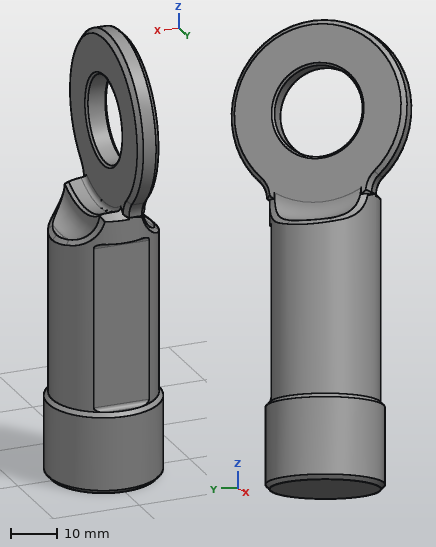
import cadquery as cq
import math

total_height = 102.0
eye_diameter = 40.0
hole_diameter = 20.0
plate_thickness = 5.0
barrel_diameter = 24.0
collar_diameter = 25.8
collar_height = 18.9

edge_chamfer = 1.0
hole_chamfer = 0.5
cove_radius = 5.0
step_fillet = 1.0
flat_fillet = 1.0
lip_width = 0.9
lip_drop = 0.3

neck_half_width = 11.9
neck_depth = 3.1
crown_bottom = 63.2
flat_offset = 10.1
flat_top = 57.9

eye_radius = eye_diameter / 2
barrel_radius = barrel_diameter / 2
collar_radius = collar_diameter / 2
eye_center = total_height - eye_radius
shoulder_half = plate_thickness
cove_end = shoulder_half + cove_radius
saddle_radius = eye_radius + cove_radius


def arc_point(center, radius, degrees):
    """Point on a circle, used as the middle of a three-point arc."""
    angle = math.radians(degrees)
    return (center[0] + radius * math.cos(angle), center[1] + radius * math.sin(angle))


def revolve_about_eye(profile):
    """Revolve a closed profile of (x, distance) points about the eye axis."""
    return profile.revolve(360, (0, 0, 0), (1, 0, 0)).translate((0, 0, eye_center))


def make_collar():
    collar = cq.Workplane("XY").circle(collar_radius).extrude(collar_height)
    collar = collar.faces("<Z").chamfer(edge_chamfer)
    return collar.faces(">Z").chamfer(collar_radius - barrel_radius)


def make_saddle_cutter():
    """Body that leaves a shoulder under the eye with a cove on each side."""
    outer_x = barrel_diameter
    profile = (
        cq.Workplane("XY")
        .moveTo(-outer_x, 0)
        .lineTo(-outer_x, saddle_radius)
        .lineTo(-cove_end, saddle_radius)
        .threePointArc(
            arc_point((-cove_end, eye_radius), cove_radius, 45),
            (-shoulder_half, eye_radius),
        )
        .lineTo(shoulder_half, eye_radius)
        .threePointArc(
            arc_point((cove_end, eye_radius), cove_radius, 135),
            (cove_end, saddle_radius),
        )
        .lineTo(outer_x, saddle_radius)
        .lineTo(outer_x, 0)
        .close()
    )
    return revolve_about_eye(profile)


def make_lip_cutter():
    """Ring of triangular section that bevels the +X lip of the shoulder."""
    start_x = shoulder_half - lip_width
    end_drop = lip_drop * (cove_end - start_x) / lip_width
    profile = (
        cq.Workplane("XY")
        .moveTo(start_x, eye_radius)
        .lineTo(cove_end, eye_radius)
        .lineTo(cove_end, eye_radius + end_drop)
        .close()
    )
    return revolve_about_eye(profile)


def make_crown_envelope():
    """Cylinder with a 45 degree cone on top, kept full where the neck covers it."""
    envelope = (
        cq.Workplane("XY")
        .circle(barrel_radius)
        .extrude(crown_bottom)
        .faces(">Z")
        .workplane()
        .circle(barrel_radius)
        .extrude(barrel_radius / 2, taper=45)
    )
    neck_side = (
        cq.Workplane("XY")
        .box(barrel_diameter, barrel_diameter, total_height, centered=(True, True, False))
        .translate((-barrel_radius - edge_chamfer, 0, 0))
    )
    return envelope.union(neck_side)


def make_barrel():
    barrel = cq.Workplane("XY").circle(barrel_radius).extrude(eye_center)
    barrel = barrel.cut(make_saddle_cutter())
    round_side = barrel.faces(cq.selectors.NearestToPointSelector((0, 0, eye_center / 2)))
    rim = round_side.edges("not(%CIRCLE or |Z)")
    barrel = rim.chamfer(edge_chamfer)
    return barrel.intersect(make_crown_envelope()).cut(make_lip_cutter())


def make_eye():
    """Flat ring with a neck that blends into the barrel."""
    blend_y = neck_half_width + cove_radius
    blend_z = -math.sqrt((eye_radius + cove_radius) ** 2 - blend_y**2)
    rim_share = eye_radius / (eye_radius + cove_radius)
    rim_y = blend_y * rim_share
    rim_z = blend_z * rim_share
    rim_angle = math.degrees(math.atan2(-blend_z, -blend_y))
    middle_y, middle_z = arc_point((blend_y, blend_z), cove_radius, (180 + rim_angle) / 2)
    root_z = crown_bottom - neck_depth - eye_center
    root_half_width = neck_half_width - (blend_z - root_z)
    eye = (
        cq.Workplane("YZ")
        .moveTo(root_half_width, root_z)
        .lineTo(neck_half_width, blend_z)
        .threePointArc((middle_y, middle_z), (rim_y, rim_z))
        .threePointArc((0, eye_radius), (-rim_y, rim_z))
        .threePointArc((-middle_y, middle_z), (-neck_half_width, blend_z))
        .lineTo(-root_half_width, root_z)
        .close()
        .extrude(-plate_thickness)
    )
    eye = eye.faces("<X or >X").edges("not <Z").chamfer(edge_chamfer)
    hole = cq.Workplane("YZ").circle(hole_diameter / 2).extrude(-plate_thickness)
    eye = eye.cut(hole)
    reach = (hole_diameter + eye_diameter) / 4
    around_hole = cq.selectors.BoxSelector((-reach, -reach, -reach), (reach, reach, reach), True)
    eye = eye.edges("%CIRCLE").edges(around_hole).chamfer(hole_chamfer)
    return eye.translate((0, 0, eye_center))


def fillet_step(body):
    """Round the inner corner between the eye face and the floor of the shoulder."""
    floor_bottom = eye_center - eye_radius
    corner = cq.selectors.BoxSelector(
        (-step_fillet, -barrel_radius, floor_bottom - step_fillet),
        (step_fillet, barrel_radius, eye_center - hole_diameter / 2),
        True,
    )
    on_eye_face = cq.selectors.NearestToPointSelector((0, 0, floor_bottom))
    return body.edges("%CIRCLE").edges(corner).edges(on_eye_face).fillet(step_fillet)


def make_flat_cutter():
    """Block that cuts the +Y flat between the collar and the head."""
    return (
        cq.Workplane("XY")
        .box(collar_diameter, barrel_radius, flat_top - collar_height, centered=(True, False, False))
        .edges("|X and <Y")
        .fillet(flat_fillet)
        .translate((0, flat_offset, collar_height))
    )


body = fillet_step(make_barrel().union(make_eye()))
result = body.cut(make_flat_cutter()).union(make_collar())